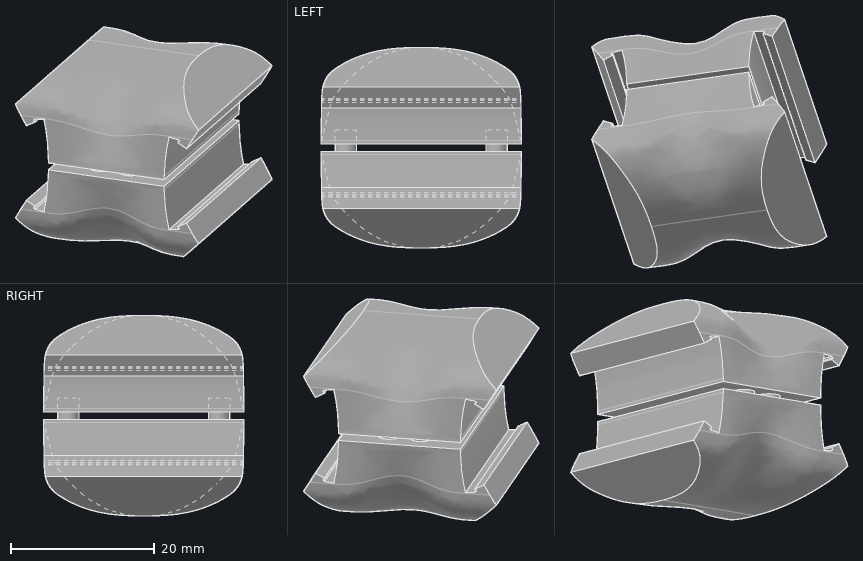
import cadquery as cq
import math

HEIGHT = 28.0
DEPTH = 28.0
WIDTH = 27.55
GAP = 1.0
BASE_Z = GAP / 2
TOP_Z = HEIGHT / 2
HALF_DEPTH = DEPTH / 2
TIP_X = WIDTH / 2

CREST_X = 8.25
TIP_Z = TOP_Z - (TIP_X - CREST_X)
LIP_X, LIP_Z = 12.05, 5.55
STEP_X, STEP_Z = 10.72, 6.27
NOTCH_X, NOTCH_Z = 10.95, 6.55
FLOOR_X, FLOOR_Z = 10.72, 6.72
WALL_TOP_X, WALL_TOP_Z = 9.4, 6.9
WALL_MID_X, WALL_MID_Z = 8.88, 3.65
WALL_BASE_X = 8.7
WALL_FOOT_HEIGHT = 0.48
WALL_FOOT_Z = BASE_Z + WALL_FOOT_HEIGHT

WAIST_SECTION = [(0, TOP_Z), (7.42, 11.8), (11.1, 8.48), (12.8, 5.45), (HALF_DEPTH, BASE_Z)]
SHOULDER_SECTION = [(0, TOP_Z), (9.38, 12.45), (11.42, 11.4), (13.9, 7.0), (HALF_DEPTH, BASE_Z)]
SECTIONS_TO_SHOULDER = 4
SECTIONS_PER_SIDE = 7

PIN_DIAMETER = 3.0
PIN_X = 2.27
PIN_Y = 10.5
PIN_INSERTION = 1.95


def section_points(x):
    """Blend smoothly from the waist section at X = 0 to the shoulder section at CREST_X."""
    reach = min(abs(x) / CREST_X, 1.0)
    share = (1 - math.cos(math.pi * reach)) / 2
    return [
        (wy + share * (sy - wy), wz + share * (sz - wz))
        for (wy, wz), (sy, sz) in zip(WAIST_SECTION, SHOULDER_SECTION)
    ]


def section_wire(x):
    """Closed front half of the section at X: straight flank, dome, centre plane and mating face."""
    *dome_points, foot = [cq.Vector(x, -y, z) for y, z in section_points(x)]
    crown = dome_points[0]
    shoulder = dome_points[-1]
    centre = cq.Vector(x, 0, BASE_Z)
    dome = cq.Edge.makeSpline(dome_points, tangents=[cq.Vector(0, -1, 0), foot - shoulder])
    return cq.Wire.assembleEdges([
        cq.Edge.makeLine(centre, crown),
        dome,
        cq.Edge.makeLine(shoulder, foot),
        cq.Edge.makeLine(foot, centre),
    ])


def waisted_block():
    """Outer shape of the upper half, narrowing towards X = 0: a lofted front half and its mirror."""
    step = CREST_X / SECTIONS_TO_SHOULDER
    stations = [i * step for i in range(-SECTIONS_PER_SIDE, SECTIONS_PER_SIDE + 1)]
    front_half = cq.Workplane(cq.Solid.makeLoft([section_wire(x) for x in stations]))
    return front_half.union(front_half.mirror("XZ"))


def winged_profile():
    """Profile of the upper half with two hooked wings, run along Y past both ends of the block."""
    return (
        cq.Workplane("XZ")
        .moveTo(0, TOP_Z)
        .lineTo(CREST_X, TOP_Z)
        .lineTo(TIP_X, TIP_Z)
        .lineTo(LIP_X, LIP_Z)
        .lineTo(STEP_X, STEP_Z)
        .lineTo(NOTCH_X, NOTCH_Z)
        .lineTo(FLOOR_X, FLOOR_Z)
        .lineTo(WALL_TOP_X, WALL_TOP_Z)
        .threePointArc((WALL_MID_X, WALL_MID_Z), (WALL_BASE_X, WALL_FOOT_Z))
        .lineTo(WALL_BASE_X, BASE_Z)
        .lineTo(0, BASE_Z)
        .mirrorY()
        .extrude(DEPTH, both=True)
    )


def alignment_pins():
    """Four pins reaching from the lower mating face into the upper half."""
    return (
        cq.Workplane("XY", origin=(0, 0, -BASE_Z))
        .rect(2 * PIN_X, 2 * PIN_Y, forConstruction=True)
        .vertices()
        .circle(PIN_DIAMETER / 2)
        .extrude(GAP + PIN_INSERTION)
    )


plain_half = waisted_block().intersect(winged_profile())
pins = alignment_pins()

upper_half = plain_half.cut(pins)

lower_half = plain_half.mirror("XY").union(pins)

result = cq.Compound.makeCompound([upper_half.solids().val(), lower_half.solids().val()])